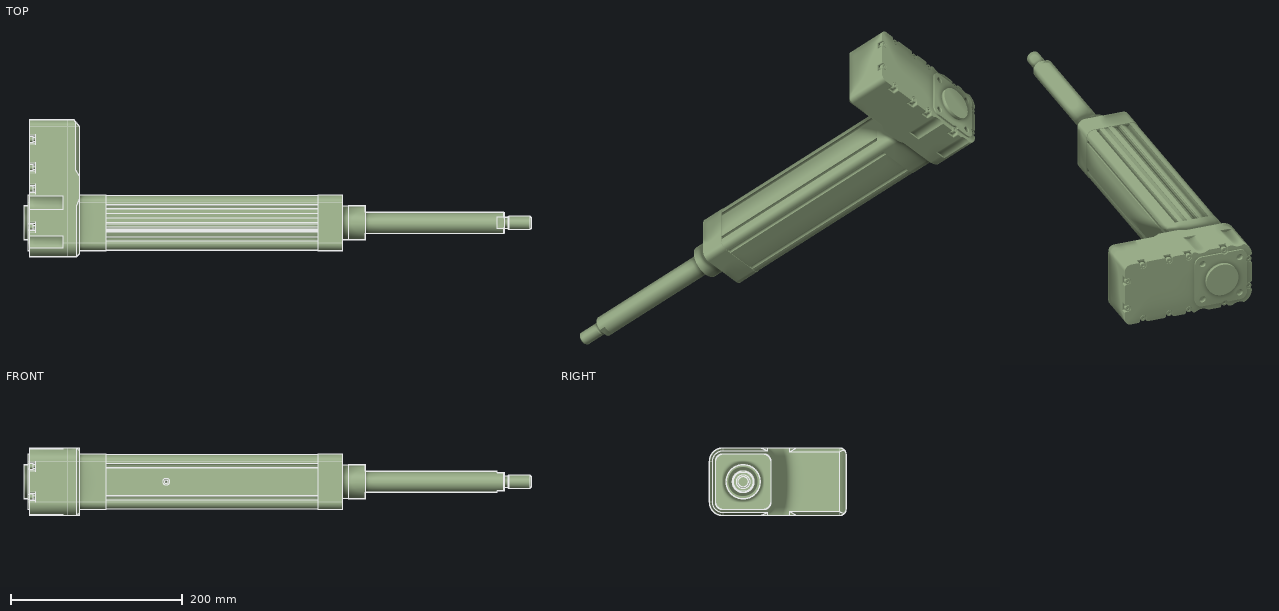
import cadquery as cq
import math


PLATE_REAR = 4.5
HOUSING_REAR = 6.5
COVER_SEAM = 51.0
HOUSING_FRONT = 65.0
REAR_CAP_FRONT = 95.5
PROFILE_FRONT = 342.5
FRONT_CAP_FRONT = 371.0
NOSE_STEP = 378.0
NOSE_FRONT = 397.5
FLATS_START = 551.0
ROD_SHOULDER = 559.5
THREAD_START = 564.5
TOTAL_LENGTH = 591.0

HOUSING_HEIGHT = 79.0
HOUSING_LENGTH = 159.5
NEAR_EDGE = -HOUSING_HEIGHT / 2
FAR_EDGE = NEAR_EDGE + HOUSING_LENGTH
NEAR_CORNER_RADIUS = 16.0
FAR_CORNER_RADIUS = 8.0
NEAR_LOBE_CHAMFER = 3.6
FAR_LOBE_CHAMFER = 5.0
END_BEVEL_X = 6.8
END_BEVEL_Y = 8.0
SADDLE_FACE = (28.5, 54.0)
SADDLE_FOOT = (20.0, 62.0)

CAP_SIZE = 65.0
CAP_CORNER_RADIUS = 9.0
COLLAR_DIAMETER = 40.0
MOUNT_HOLE_OFFSET = 46.5 / 2
MOUNT_THREAD_MAJOR = 8.0
MOUNT_THREAD_MINOR = 6.65
MOUNT_HOLE_DEPTH = 16.0
DRILL_TIP_ANGLE = 118.0

RELIEF_RADIUS = 25.5 / 2
RELIEF_DEPTH = 2.8
RELIEF_FRONT = 45.7

POCKET_DIAMETER = 8.0
POCKET_LENGTH = 7.2
POCKET_MOUTH_RADIUS = 2.0
SIDE_POCKET_INSET = 5.0
END_POCKET_INSET = 4.0
SIDE_POCKET_Y = (97.0, 64.25, 39.4, -5.0)
END_POCKET_Z = 17.75
SCREW_HEAD_DIAMETER = 7.0
SCREW_HEAD_LENGTH = 4.0
SCREW_SHANK_DIAMETER = 4.13
SCREW_SOCKET_DIAMETER = 3.0
SCREW_SOCKET_DEPTH = 2.0

PROFILE_SIZE = 64.0
PROFILE_CORNER_RADIUS = CAP_CORNER_RADIUS - (CAP_SIZE - PROFILE_SIZE) / 2
GROOVE_OFFSET = 18.7
GROOVE_WIDTH = 4.6
GROOVE_DEPTH = 3.6
STEP_GROOVE = (5.6, 10.9)
STEP_GROOVE_DEPTH = 1.0
SENSOR_RECESS = (-9.6, 0.2)
SENSOR_RECESS_DEPTH = 1.0
SENSOR_SLOT = (-8.2, -1.6)
SENSOR_SLOT_DEPTH = 3.0
SENSOR_CHANNEL = (-6.9, -5.1)
SENSOR_CHANNEL_DEPTH = 5.0
RAMP_START = -10.5
RAMP_DEPTH = 2.5
PORT_X = 165.7
PORT_DIAMETER = 8.0
PORT_BORE_DIAMETER = 4.13
PORT_DEPTH = 8.0

NOSE_PILOT_DIAMETER = 39.5
NOSE_DIAMETER = 40.0
ROD_BORE_DIAMETER = 25.5
ROD_DIAMETER = 25.0
ROD_END_CHAMFER = 1.0
WRENCH_FLATS = 21.0
NECK_DIAMETER = 13.5
THREAD_DIAMETER = 16.0
THREAD_CHAMFER = 2.0
NECK_CHAMFER = (THREAD_DIAMETER - NECK_DIAMETER) / 2


def cross_section(x):
    """Workplane across the actuator axis: local x is Y, local y is Z, extruding to +X."""
    return cq.Workplane("YZ", origin=(x, 0, 0))


def disc(diameter, x_start, x_end, y=0.0, z=0.0):
    return cross_section(x_start).center(y, z).circle(diameter / 2).extrude(x_end - x_start)


def rounded_square(size, radius, x_start, x_end):
    block = cross_section(x_start).rect(size, size).extrude(x_end - x_start)
    return block.edges("|X").fillet(radius)


def housing_block(x_start, x_end):
    block = (
        cross_section(x_start)
        .center((NEAR_EDGE + FAR_EDGE) / 2, 0)
        .rect(HOUSING_LENGTH, HOUSING_HEIGHT)
        .extrude(x_end - x_start)
    )
    block = block.edges("|X and <Y").fillet(NEAR_CORNER_RADIUS)
    return block.edges("|X and >Y").fillet(FAR_CORNER_RADIUS)


def front_saddle():
    """Stretch between the two lobes where the front edge keeps its full height."""
    outline = [
        (HOUSING_FRONT - NEAR_LOBE_CHAMFER, SADDLE_FOOT[0]),
        (HOUSING_FRONT, SADDLE_FACE[0]),
        (HOUSING_FRONT, SADDLE_FACE[1]),
        (HOUSING_FRONT - FAR_LOBE_CHAMFER, SADDLE_FOOT[1]),
        (HOUSING_FRONT - FAR_LOBE_CHAMFER, SADDLE_FACE[0]),
    ]
    return cq.Workplane("XY").polyline(outline).close().extrude(HOUSING_HEIGHT / 2, both=True)


def cover_lobe(chamfer, y_start, y_end):
    """Stretch of the front cover between two Y stations, with its own front chamfer."""
    cover = housing_block(COVER_SEAM, HOUSING_FRONT).faces(">X").chamfer(chamfer)
    stretch = (
        cross_section(COVER_SEAM)
        .center((y_start + y_end) / 2, 0)
        .rect(y_end - y_start, HOUSING_HEIGHT)
        .extrude(HOUSING_FRONT - COVER_SEAM)
    )
    return cover.intersect(stretch)


def front_cover():
    saddle_middle = sum(SADDLE_FACE) / 2
    near_lobe = cover_lobe(NEAR_LOBE_CHAMFER, NEAR_EDGE, saddle_middle)
    far_lobe = cover_lobe(FAR_LOBE_CHAMFER, saddle_middle, FAR_EDGE)
    bevel_outline = [
        (HOUSING_FRONT, FAR_EDGE),
        (HOUSING_FRONT - END_BEVEL_X, FAR_EDGE),
        (HOUSING_FRONT, FAR_EDGE - END_BEVEL_Y),
    ]
    end_bevel = cq.Workplane("XY").polyline(bevel_outline).close().extrude(HOUSING_HEIGHT / 2, both=True)
    return near_lobe.union(far_lobe).union(front_saddle()).cut(end_bevel)


def mount_hole(y, z):
    """Threaded blind hole: countersunk to the thread's major diameter, with a drill point."""
    minor = MOUNT_THREAD_MINOR / 2
    major = MOUNT_THREAD_MAJOR / 2
    tip = minor / math.tan(math.radians(DRILL_TIP_ANGLE / 2))
    half_section = [
        (0, 0),
        (0, major),
        (major - minor, minor),
        (MOUNT_HOLE_DEPTH, minor),
        (MOUNT_HOLE_DEPTH + tip, 0),
    ]
    hole = cq.Workplane("XY").polyline(half_section).close().revolve(360, (0, 0), (1, 0))
    return hole.translate((PLATE_REAR, y, z))


def wrench_relief(y, side):
    z = side * (HOUSING_HEIGHT / 2 - RELIEF_DEPTH + RELIEF_RADIUS)
    return disc(2 * RELIEF_RADIUS, HOUSING_REAR, RELIEF_FRONT, y, z)


def screw_pocket(inset):
    """Pocket on a housing edge along local y = 0, opening to +y with a rounded mouth."""
    radius = POCKET_DIAMETER / 2
    mouth = radius + POCKET_MOUTH_RADIUS
    bend = POCKET_MOUTH_RADIUS * math.sqrt(0.5)
    bend_x = mouth - bend
    bend_y = bend - POCKET_MOUTH_RADIUS
    return (
        cross_section(PLATE_REAR)
        .moveTo(-mouth, 0)
        .threePointArc((-bend_x, bend_y), (-radius, -POCKET_MOUTH_RADIUS))
        .lineTo(-radius, -inset)
        .threePointArc((0, -inset - radius), (radius, -inset))
        .lineTo(radius, -POCKET_MOUTH_RADIUS)
        .threePointArc((bend_x, bend_y), (mouth, 0))
        .close()
        .extrude(HOUSING_REAR + POCKET_LENGTH - PLATE_REAR)
    )


def cover_screw(inset):
    head_front = HOUSING_REAR + SCREW_HEAD_LENGTH
    head = disc(SCREW_HEAD_DIAMETER, HOUSING_REAR, head_front, 0, -inset)
    shank = disc(SCREW_SHANK_DIAMETER, head_front, HOUSING_REAR + POCKET_LENGTH, 0, -inset)
    socket = disc(SCREW_SOCKET_DIAMETER, HOUSING_REAR, HOUSING_REAR + SCREW_SOCKET_DEPTH, 0, -inset)
    return head.union(shank).cut(socket)


def on_housing_edges(make):
    """Copies of make(inset) at every cover screw station around the housing."""
    copies = []
    for side in (1, -1):
        side_turn = 0 if side > 0 else 180
        side_copy = make(SIDE_POCKET_INSET).rotate((0, 0, 0), (1, 0, 0), side_turn)
        for y in SIDE_POCKET_Y:
            copies.append(side_copy.translate((0, y, side * HOUSING_HEIGHT / 2)))
        end_copy = make(END_POCKET_INSET).rotate((0, 0, 0), (1, 0, 0), -90 * side)
        end_y = FAR_EDGE if side > 0 else NEAR_EDGE
        for z in (END_POCKET_Z, -END_POCKET_Z):
            copies.append(end_copy.translate((0, end_y, z)))
    return copies


def make_gearbox():
    body = housing_block(HOUSING_REAR, COVER_SEAM)
    body = body.union(front_cover(), clean=False)
    body = body.union(rounded_square(CAP_SIZE, CAP_CORNER_RADIUS, PLATE_REAR, HOUSING_REAR), clean=False)
    body = body.union(disc(COLLAR_DIAMETER, 0, PLATE_REAR), clean=False)
    for y in (MOUNT_HOLE_OFFSET, -MOUNT_HOLE_OFFSET):
        for side in (1, -1):
            body = body.cut(mount_hole(y, side * MOUNT_HOLE_OFFSET), clean=False)
            body = body.cut(wrench_relief(y, side), clean=False)
    for pocket in on_housing_edges(screw_pocket):
        body = body.cut(pocket, clean=False)
    for screw in on_housing_edges(cover_screw):
        body = body.union(screw, clean=False)
    return body


def round_groove(y):
    """Round-bottomed groove along the profile's top face, centred on y."""
    half_width = GROOVE_WIDTH / 2
    top = PROFILE_SIZE / 2
    return (
        cross_section(REAR_CAP_FRONT)
        .moveTo(y - half_width, top)
        .threePointArc((y, top - GROOVE_DEPTH), (y + half_width, top))
        .close()
        .extrude(PROFILE_FRONT - REAR_CAP_FRONT)
    )


def top_slot(y_range, depth):
    """Rectangular slot along the profile, cut down from its top face."""
    return (
        cross_section(REAR_CAP_FRONT)
        .center(sum(y_range) / 2, (PROFILE_SIZE - depth) / 2)
        .rect(y_range[1] - y_range[0], depth)
        .extrude(PROFILE_FRONT - REAR_CAP_FRONT)
    )


def top_ramp():
    """Slope from the profile's top face down into the near round groove."""
    top = PROFILE_SIZE / 2
    groove_edge = GROOVE_WIDTH / 2 - GROOVE_OFFSET
    return (
        cross_section(REAR_CAP_FRONT)
        .polyline([(RAMP_START, top), (groove_edge, top), (groove_edge, top - RAMP_DEPTH)])
        .close()
        .extrude(PROFILE_FRONT - REAR_CAP_FRONT)
    )


def make_profile():
    tube = rounded_square(PROFILE_SIZE, PROFILE_CORNER_RADIUS, REAR_CAP_FRONT, PROFILE_FRONT)
    for turn in range(4):
        for y in (GROOVE_OFFSET, -GROOVE_OFFSET):
            tube = tube.cut(round_groove(y).rotate((0, 0, 0), (1, 0, 0), 90 * turn))
    tube = tube.cut(top_slot(STEP_GROOVE, STEP_GROOVE_DEPTH))
    tube = tube.cut(top_slot(SENSOR_RECESS, SENSOR_RECESS_DEPTH))
    tube = tube.cut(top_slot(SENSOR_SLOT, SENSOR_SLOT_DEPTH))
    tube = tube.cut(top_slot(SENSOR_CHANNEL, SENSOR_CHANNEL_DEPTH))
    tube = tube.cut(top_ramp())
    port_face = cq.Workplane("XZ", origin=(PORT_X, -PROFILE_SIZE / 2, 0))
    port = port_face.circle(PORT_BORE_DIAMETER / 2).extrude(-PORT_DEPTH)
    countersink = cq.Workplane(
        cq.Solid.makeCone(
            PORT_DIAMETER / 2,
            PORT_BORE_DIAMETER / 2,
            (PORT_DIAMETER - PORT_BORE_DIAMETER) / 2,
            pnt=cq.Vector(PORT_X, -PROFILE_SIZE / 2, 0),
            dir=cq.Vector(0, 1, 0),
        )
    )
    return tube.cut(port).cut(countersink)


def make_front_cap():
    cap = rounded_square(CAP_SIZE, CAP_CORNER_RADIUS, PROFILE_FRONT, FRONT_CAP_FRONT)
    cap = cap.union(disc(NOSE_PILOT_DIAMETER, FRONT_CAP_FRONT, NOSE_STEP))
    cap = cap.union(disc(NOSE_DIAMETER, NOSE_STEP, NOSE_FRONT))
    return cap.cut(disc(ROD_BORE_DIAMETER, PROFILE_FRONT, NOSE_FRONT))


def make_rod():
    rod = disc(ROD_DIAMETER, PROFILE_FRONT, ROD_SHOULDER).faces(">X").chamfer(ROD_END_CHAMFER)
    for side in (1, -1):
        flat = (
            cross_section(FLATS_START)
            .center(0, side * (WRENCH_FLATS + ROD_DIAMETER) / 2)
            .rect(ROD_DIAMETER, ROD_DIAMETER)
            .extrude(ROD_SHOULDER - FLATS_START)
        )
        rod = rod.cut(flat)
    thread = disc(THREAD_DIAMETER, THREAD_START - NECK_CHAMFER, TOTAL_LENGTH)
    thread = thread.faces(">X").chamfer(THREAD_CHAMFER)
    thread = thread.faces("<X").chamfer(NECK_CHAMFER)
    return rod.union(disc(NECK_DIAMETER, ROD_SHOULDER, THREAD_START)).union(thread)


gearbox = make_gearbox()
rear_cap = rounded_square(CAP_SIZE, CAP_CORNER_RADIUS, HOUSING_FRONT, REAR_CAP_FRONT)
profile = make_profile()
front_cap = make_front_cap()
rod = make_rod()

result = cq.Compound.makeCompound(
    [gearbox.val(), rear_cap.val(), profile.val(), front_cap.val(), rod.val()]
)